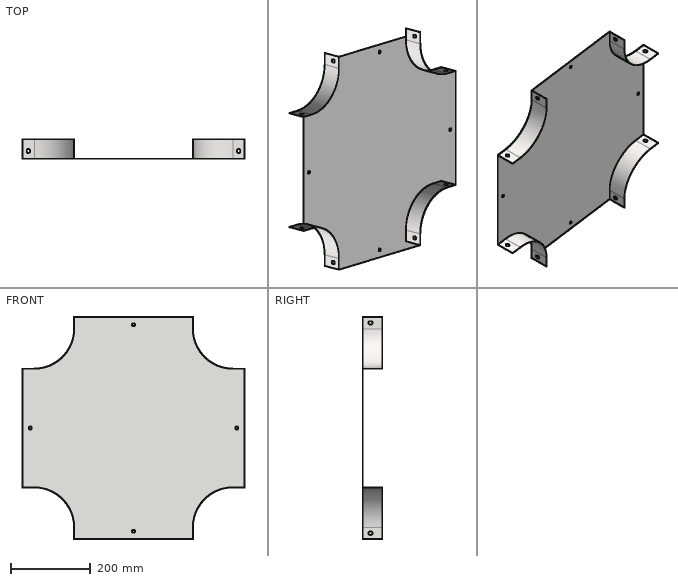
import cadquery as cq

span = 560.0
arm_width = 300.0
depth = 50.0
sheet = 0.8
corner_radius = 100.0

plate_hole_diameter = 7.0
plate_hole_edge_distance = 20.0

slot_width = 8.0
slot_length = 10.0
slot_end_distance = 15.0
slot_front_distance = 20.0

half_span = span / 2
half_arm = arm_width / 2
arc_start = half_arm + corner_radius
front_y = -depth / 2
quarter_turns = (0, 90, 180, 270)


def turned(shape, angle):
    """Rotate a shape about the Y axis through the centre of the cross."""
    return shape.rotate((0, 0, 0), (0, 1, 0), angle)


def front_plane():
    """XZ sketch plane on the front face; its normal is -Y, so depths are extruded negatively."""
    return cq.Workplane("XZ", origin=(0, front_y, 0))


def corner_cutout(wall):
    """Full-depth prism outside one corner, its boundary set inward by the wall thickness."""
    side = half_arm - wall
    radius = arc_start - side
    return (
        front_plane()
        .moveTo(side, half_span)
        .lineTo(side, arc_start)
        .radiusArc((arc_start, side), -radius)
        .lineTo(half_span, side)
        .lineTo(half_span, half_span)
        .close()
        .extrude(-depth)
    )


def make_plate():
    """Flat cross-shaped sheet with concave rounded corners."""
    plate = front_plane().rect(span, span).extrude(-sheet)
    for angle in quarter_turns:
        plate = plate.cut(turned(corner_cutout(0), angle))
    return plate


def make_flange():
    """Upright wall following one concave corner, flush with the plate outline."""
    return corner_cutout(sheet).cut(corner_cutout(0))


def plate_hole():
    """Cutter for the round hole in the +Z arm."""
    hole_z = half_span - plate_hole_edge_distance
    hole = cq.Solid.makeCylinder(
        plate_hole_diameter / 2, sheet, cq.Vector(0, front_y, hole_z), cq.Vector(0, 1, 0)
    )
    return cq.Workplane(hole)


def arm_slots():
    """Cutter for the slots through both flange ends of the +Z arm."""
    slot_z = half_span - slot_end_distance
    slot_y = front_y + slot_front_distance
    return (
        cq.Workplane("YZ", origin=(0, slot_y, slot_z))
        .slot2D(slot_length, slot_width)
        .extrude(half_arm, both=True)
    )


result = make_plate()
for turn in quarter_turns:
    result = result.union(turned(make_flange(), turn))
for turn in quarter_turns:
    result = result.cut(turned(plate_hole(), turn))
    result = result.cut(turned(arm_slots(), turn))